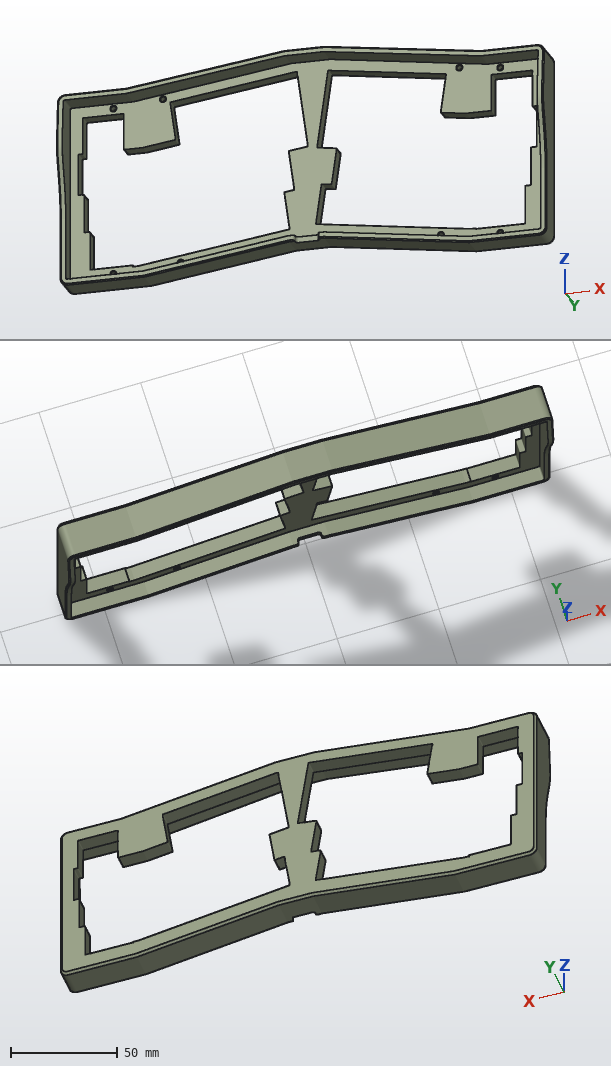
import cadquery as cq
import math

LENGTH = 238.3
HEIGHT = 105.0
DEPTH = 20.0
BACK_Y = DEPTH / 2
TOP_Z = HEIGHT / 2
BOTTOM_Z = -HEIGHT / 2
OVERCUT = 2.5

WING_ANGLE = 8.0
WING_SLOPE = math.tan(math.radians(WING_ANGLE))
SPAN_CENTER = 1.5
TOP_OUTER_KINK = 87.0
TOP_INNER_KINK = 9.8
BOTTOM_OUTER_KINK = 79.5
BOTTOM_INNER_KINK = 8.5
CORNER_RADIUS = 3.8
BACK_CHAMFER = 1.2
FRONT_CHAMFER = 0.6

SHALLOW_DEPTH = 14.0
CREST_Z = 13.5
LOWER_ANGLE = 15.0
UPPER_ANGLE = 4.7
CREST_RADIUS = 29.8
VALLEY_RADIUS = 71.5

WALL = 2.9
PLATE_THICKNESS = 7.0
PLATE_FRONT_Y = BACK_Y - PLATE_THICKNESS

KEY = 19.0
POCKET_X = 110.0
UPPER_ROW_X = 112.2
MIDDLE_ROW_X = 109.4
LOWER_ROW_X = 106.5
TAB_OUTER_X = 90.0
POCKET_TOP_Z = 33.4
TAB_BOTTOM_Z = 15.2
UPPER_ROW_Z = -5.2
MIDDLE_ROW_Z = UPPER_ROW_Z - KEY
LOWER_ROW_Z = MIDDLE_ROW_Z - KEY
JOG_WIDTH = 2.6
LEG_TOP_HEIGHT = 38.5
TAB_HEIGHT = 19.3
OPENING_RADIUS = 0.5

HOLE_DIAMETER = 2.6
HOLE_MOUTH_DIAMETER = 3.0
HOLE_DEPTH = 4.8
HOLE_CENTERS = [
    (-95.0, 36.5),
    (-70.8, 38.5),
    (74.3, 38.5),
    (94.4, 36.5),
    (-95.0, -46.7),
    (-62.2, -44.5),
    (65.3, -44.5),
    (94.4, -46.7),
]

NOTCH_WIDTH = 11.5
NOTCH_DEPTH = 2.9
NOTCH_RADIUS = 1.2
NOTCH_HEIGHT = 19.0


def frame_outline():
    """Outer outline of the frame in the X-Z plane."""
    end_x = LENGTH / 2
    top_end_z = TOP_Z - (TOP_OUTER_KINK - TOP_INNER_KINK) * WING_SLOPE
    bottom_mid_z = BOTTOM_Z + (BOTTOM_OUTER_KINK - BOTTOM_INNER_KINK) * WING_SLOPE
    points = [
        (-end_x, top_end_z),
        (SPAN_CENTER - TOP_OUTER_KINK, top_end_z),
        (SPAN_CENTER - TOP_INNER_KINK, TOP_Z),
        (SPAN_CENTER + TOP_INNER_KINK, TOP_Z),
        (SPAN_CENTER + TOP_OUTER_KINK, top_end_z),
        (end_x, top_end_z),
        (end_x, BOTTOM_Z),
        (SPAN_CENTER + BOTTOM_OUTER_KINK, BOTTOM_Z),
        (SPAN_CENTER + BOTTOM_INNER_KINK, bottom_mid_z),
        (SPAN_CENTER - BOTTOM_INNER_KINK, bottom_mid_z),
        (SPAN_CENTER - BOTTOM_OUTER_KINK, BOTTOM_Z),
        (-end_x, BOTTOM_Z),
    ]
    return points


def silhouette_body():
    """Body along X whose front carries the curved silhouette of the rim."""
    lower = math.radians(LOWER_ANGLE)
    upper = math.radians(UPPER_ANGLE)
    crest_tangent = CREST_RADIUS * math.tan((lower + upper) / 2)
    rounding_loss = crest_tangent * math.sin(lower) - CREST_RADIUS * (1 - math.cos(lower))
    crest_depth = DEPTH + rounding_loss
    top_depth = crest_depth - (TOP_Z - CREST_Z) * math.tan(upper)
    crest = (BACK_Y - crest_depth, CREST_Z)
    valley_z = CREST_Z - (crest_depth - SHALLOW_DEPTH) / math.tan(lower)
    valley = (BACK_Y - SHALLOW_DEPTH, valley_z)
    profile = [
        (BACK_Y, BOTTOM_Z),
        (BACK_Y, TOP_Z),
        (BACK_Y - top_depth, TOP_Z),
        crest,
        valley,
        (BACK_Y - SHALLOW_DEPTH, BOTTOM_Z),
    ]
    body = cq.Workplane("YZ").polyline(profile).close().extrude(LENGTH / 2, both=True)
    for (y, z), radius in ((crest, CREST_RADIUS), (valley, VALLEY_RADIUS)):
        body = body.edges(cq.NearestToPointSelector((0, y, z))).fillet(radius)
    return body


def is_front_rim_edge(edge):
    """True for front edges on the outline, false for lines crossing the whole front."""
    return edge.Center().y < BACK_Y - SHALLOW_DEPTH / 2 and edge.Length() < LENGTH / 2


def outer_block():
    """Solid block with rounded ends, curved front and chamfered rims."""
    block = (
        cq.Workplane("XZ", origin=(0, BACK_Y, 0))
        .polyline(frame_outline())
        .close()
        .extrude(DEPTH + OVERCUT)
        .edges("|Y and (<X or >X)")
        .fillet(CORNER_RADIUS)
        .faces(">Y")
        .chamfer(BACK_CHAMFER)
    )
    block = block.intersect(silhouette_body())
    return block.edges("not |Y").filter(is_front_rim_edge).chamfer(FRONT_CHAMFER)


def front_recess():
    """Space inside the rim wall, in front of the plate."""
    return (
        cq.Workplane("XZ", origin=(0, PLATE_FRONT_Y, 0))
        .polyline(frame_outline())
        .close()
        .offset2D(-WALL)
        .extrude(DEPTH)
        .edges("|Y and (<X or >X)")
        .fillet(CORNER_RADIUS - WALL)
    )


def tilted_path(start, moves, side):
    """Corner points reached from start by (inward, upward) moves on the tilted key grid."""
    angle = math.radians(WING_ANGLE)
    x, z = start
    points = [start]
    for inward, upward in moves:
        x += side * (upward * math.sin(angle) - inward * math.cos(angle))
        z += inward * math.sin(angle) + upward * math.cos(angle)
        points.append((x, z))
    return points


def key_opening(
    side, leg_foot, lower_height, lower_step, upper_height, upper_step, top_run, jog_x
):
    """Key opening on the left (side -1) or right (side +1) of the centre leg.

    leg_foot is the bottom inner corner; the heights and steps shape the leg above it,
    top_run is the length of the tilted top edge, and jog_x is how far from X = 0 the
    tilted lower edge ends.
    """
    leg_and_tab = tilted_path(
        leg_foot,
        [
            (0, lower_height),
            (lower_step, 0),
            (0, upper_height),
            (upper_step, 0),
            (0, LEG_TOP_HEIGHT),
            (-top_run, 0),
            (0, -TAB_HEIGHT),
        ],
        side,
    )
    foot_x, foot_z = leg_foot
    jog_z = foot_z - (jog_x - abs(foot_x)) * WING_SLOPE
    tab_x, tab_z = leg_and_tab[-1]
    tab_kink_x = tab_x + side * (tab_z - TAB_BOTTOM_Z) / WING_SLOPE
    outer_edge = [
        (tab_kink_x, TAB_BOTTOM_Z),
        (side * TAB_OUTER_X, TAB_BOTTOM_Z),
        (side * TAB_OUTER_X, POCKET_TOP_Z),
        (side * POCKET_X, POCKET_TOP_Z),
        (side * POCKET_X, TAB_BOTTOM_Z),
        (side * UPPER_ROW_X, TAB_BOTTOM_Z),
        (side * UPPER_ROW_X, UPPER_ROW_Z),
        (side * MIDDLE_ROW_X, UPPER_ROW_Z),
        (side * MIDDLE_ROW_X, MIDDLE_ROW_Z),
        (side * LOWER_ROW_X, MIDDLE_ROW_Z),
        (side * LOWER_ROW_X, LOWER_ROW_Z),
        (side * (jog_x + JOG_WIDTH), LOWER_ROW_Z),
        (side * (jog_x + JOG_WIDTH), jog_z),
        (side * jog_x, jog_z),
    ]
    opening = cq.Workplane("XZ", origin=(0, BACK_Y, 0)).polyline(leg_and_tab + outer_edge).close()
    opening = opening.extrude(PLATE_THICKNESS)

    def is_full_corner(edge):
        offset_from_jog = abs(edge.Center().x) - jog_x - JOG_WIDTH / 2
        in_jog = abs(offset_from_jog) < JOG_WIDTH and edge.Center().z < MIDDLE_ROW_Z
        return not in_jog

    return opening.edges("|Y").filter(is_full_corner).fillet(OPENING_RADIUS)


def screw_holes():
    """Blind holes in the plate with lightly chamfered mouths."""
    plate_front = cq.Workplane("XZ", origin=(0, PLATE_FRONT_Y, 0)).pushPoints(HOLE_CENTERS)
    shafts = plate_front.circle(HOLE_DIAMETER / 2).extrude(-HOLE_DEPTH)
    mouth_depth = (HOLE_MOUTH_DIAMETER - HOLE_DIAMETER) / 2
    mouths = plate_front.circle(HOLE_MOUTH_DIAMETER / 2).extrude(-mouth_depth, taper=45)
    return shafts.union(mouths)


def cable_notch():
    """Notch with rounded mouth and rounded floor corners."""
    half = NOTCH_WIDTH / 2
    flare = half + OVERCUT
    points = [
        (-flare, -OVERCUT),
        (-flare, 0),
        (-half, 0),
        (-half, NOTCH_DEPTH),
        (half, NOTCH_DEPTH),
        (half, 0),
        (flare, 0),
        (flare, -OVERCUT),
    ]
    notch = (
        cq.Workplane("XY", origin=(SPAN_CENTER, BACK_Y - SHALLOW_DEPTH, BOTTOM_Z))
        .polyline(points)
        .close()
        .extrude(NOTCH_HEIGHT)
    )

    def is_wall_corner(edge):
        return abs(edge.Center().x - SPAN_CENTER) < half + OVERCUT / 2

    return notch.edges("|Z").filter(is_wall_corner).fillet(NOTCH_RADIUS)


left_opening = key_opening(
    side=-1,
    leg_foot=(-8.8, -33.5),
    lower_height=19.0,
    lower_step=5.0,
    upper_height=20.0,
    upper_step=9.5,
    top_run=62.7,
    jog_x=83.0,
)
right_opening = key_opening(
    side=1,
    leg_foot=(4.0, -32.5),
    lower_height=20.0,
    lower_step=-5.0,
    upper_height=18.0,
    upper_step=9.8,
    top_run=58.4,
    jog_x=79.8,
)

result = (
    outer_block()
    .cut(front_recess())
    .cut(left_opening)
    .cut(right_opening)
    .cut(screw_holes())
    .cut(cable_notch())
)